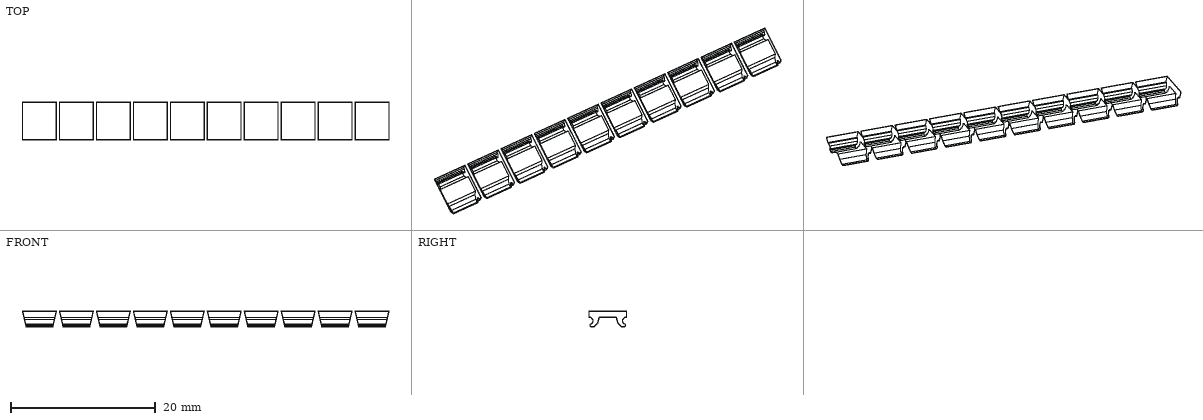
import cadquery as cq

row_length = 50.65
tile_count = 10
gap = 0.4
tile_length = (row_length - (tile_count - 1) * gap) / tile_count
pitch = tile_length + gap

tile_width = 5.2
tile_height = 2.2
plate_thickness = 0.85
half_width = tile_width / 2

end_inset = 0.5

undercut_y = 2.4
groove_top_y = 2.1
groove_top_z = -1.15
groove_waist_y = 2.1
groove_waist_z = -1.45
groove_bottom_y = 2.3
groove_bottom_z = -1.75
foot_tip_y = 2.5
foot_upper_chamfer = 0.1
foot_lower_chamfer = 0.15

leg_root_y = 1.15
leg_wall_y = 1.35
leg_wall_z = -1.6
foot_inner_y = 1.85


def plate():
    """Flat rectangular top of the tile, before its ends are slanted."""
    return cq.Workplane("XY").box(
        tile_length, tile_width, plate_thickness, centered=(False, True, False)
    ).translate((0, 0, -plate_thickness))


def leg():
    """Hooked leg on the +Y side, running along the whole tile."""
    return (
        cq.Workplane("YZ")
        .moveTo(leg_root_y, -plate_thickness)
        .lineTo(undercut_y, -plate_thickness)
        .lineTo(groove_top_y, groove_top_z)
        .threePointArc((groove_waist_y, groove_waist_z), (groove_bottom_y, groove_bottom_z))
        .lineTo(foot_tip_y - foot_upper_chamfer, groove_bottom_z)
        .lineTo(foot_tip_y, groove_bottom_z - foot_upper_chamfer)
        .lineTo(foot_tip_y, foot_lower_chamfer - tile_height)
        .lineTo(foot_tip_y - foot_lower_chamfer, -tile_height)
        .lineTo(foot_inner_y, -tile_height)
        .lineTo(leg_wall_y, leg_wall_z)
        .close()
        .extrude(tile_length)
    )


def end_envelope():
    """Block whose two end faces slant inward toward the bottom."""
    return (
        cq.Workplane("XZ")
        .polyline([
            (0, 0),
            (tile_length, 0),
            (tile_length - end_inset, -tile_height),
            (end_inset, -tile_height),
        ])
        .close()
        .extrude(half_width, both=True)
    )


def tile(index):
    """One complete tile at its place in the row."""
    right_leg = leg()
    left_leg = right_leg.mirror("XZ")
    body = plate().union(right_leg).union(left_leg).intersect(end_envelope())
    return body.translate((index * pitch, 0, 0))


tiles = [tile(index).val() for index in range(tile_count)]

result = cq.Compound.makeCompound(tiles)